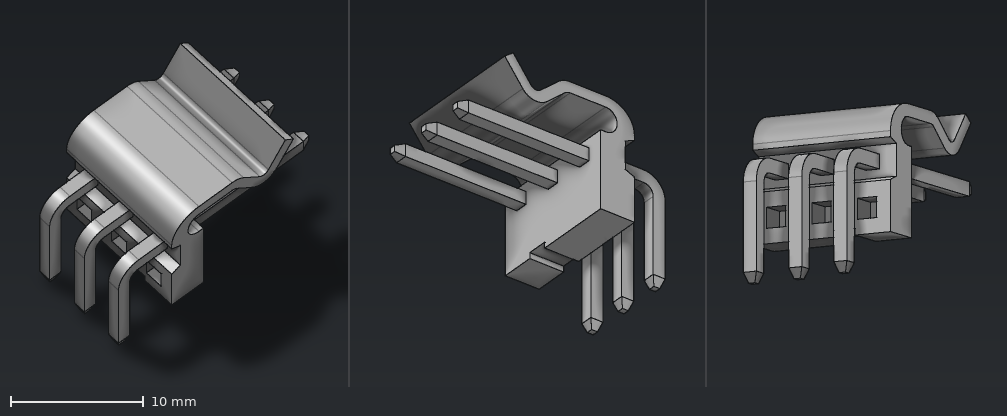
import cadquery as cq
import math


WIDTH = 11.98
HOUSING_DEPTH = 3.2
HOUSING_TOP = 7.02

GROOVE_DEPTH = 0.88
GROOVE_BOTTOM = 4.0
GROOVE_TOP = 7.27
GROOVE_SIDE_RISE = 0.37

STRIP_THICKNESS = 1.01
STRIP_TOP = 10.23
HOOK_CENTER_Y = 2.75
HOOK_FRONT_END = 7.75
CREST_Y = 6.09
CREST_INNER_RADIUS = 0.78
FALL_ANGLE = 40
FALL_LENGTH = 2.14
VALLEY_INNER_RADIUS = 0.6
LIP_ANGLE = 53
LIP_LENGTH = 2.84

POCKET_WIDTH = 1.67
POCKET_HEIGHT = 1.61
POCKET_DEPTH = 2.0
POCKET_BOTTOM = 1.19

NOTCH_LEFT = 1.03
NOTCH_WIDTH = 1.87
NOTCH_HEIGHT = 0.53

PIN_PITCH = 3.95
PIN_SIZE = 1.15
PIN_BEND_RADIUS = 2.05
PIN_TIP_LENGTH = 0.82
PIN_TIP_SIZE = 0.56
PIN_BACK_END = 15.38
PIN_FRONT = -4.0
PIN_TOP = 6.15
PIN_BOTTOM_END = -3.64
LAST_PIN_OFFSET = 0.05
LAST_PIN_END_RISE = 0.12


def polar(center, radius, angle):
    """Point at a radius from a center, the angle measured in degrees from +Y towards +Z."""
    turn = math.radians(angle)
    return (center[0] + radius * math.cos(turn), center[1] + radius * math.sin(turn))


def make_body():
    """Housing and latch strip: one profile in the YZ plane, extruded along X."""
    crest_outer = CREST_INNER_RADIUS + STRIP_THICKNESS
    valley_outer = VALLEY_INNER_RADIUS + STRIP_THICKNESS
    strip_bottom = STRIP_TOP - STRIP_THICKNESS
    hook_inner_radius = (strip_bottom - HOUSING_TOP) / 2
    hook_inner_z = HOUSING_TOP + hook_inner_radius

    fall_normal = 90 - FALL_ANGLE
    fall_mid = 90 - FALL_ANGLE / 2
    lip_normal = LIP_ANGLE - 90
    valley_mid = (fall_normal - 180 + lip_normal) / 2
    crest = (CREST_Y, STRIP_TOP - crest_outer)
    fall_end = polar(polar(crest, crest_outer, fall_normal), FALL_LENGTH, -FALL_ANGLE)
    valley = polar(fall_end, VALLEY_INNER_RADIUS, fall_normal)
    lip_inner_end = polar(polar(valley, VALLEY_INNER_RADIUS, lip_normal), LIP_LENGTH, LIP_ANGLE)
    lip_outer_end = polar(polar(valley, valley_outer, lip_normal), LIP_LENGTH, LIP_ANGLE)

    profile = (
        cq.Workplane("YZ", origin=(-WIDTH / 2, 0, 0))
        .moveTo(0, 0)
        .lineTo(0, GROOVE_BOTTOM)
        .lineTo(GROOVE_DEPTH, GROOVE_BOTTOM + GROOVE_SIDE_RISE)
        .lineTo(GROOVE_DEPTH, GROOVE_TOP - GROOVE_SIDE_RISE)
        .lineTo(0, GROOVE_TOP)
        .lineTo(0, HOOK_FRONT_END)
        .ellipseArc(HOOK_CENTER_Y, STRIP_TOP - HOOK_FRONT_END, 90, 180, sense=-1)
        .lineTo(CREST_Y, STRIP_TOP)
        .threePointArc(polar(crest, crest_outer, fall_mid), polar(crest, crest_outer, fall_normal))
        .lineTo(*fall_end)
        .threePointArc(
            polar(valley, VALLEY_INNER_RADIUS, valley_mid),
            polar(valley, VALLEY_INNER_RADIUS, lip_normal),
        )
        .lineTo(*lip_inner_end)
        .lineTo(*lip_outer_end)
        .lineTo(*polar(valley, valley_outer, lip_normal))
        .threePointArc(
            polar(valley, valley_outer, valley_mid),
            polar(valley, valley_outer, fall_normal - 180),
        )
        .lineTo(*polar(crest, CREST_INNER_RADIUS, fall_normal))
        .threePointArc(polar(crest, CREST_INNER_RADIUS, fall_mid), (CREST_Y, strip_bottom))
        .lineTo(HOOK_CENTER_Y, strip_bottom)
        .threePointArc(
            (HOOK_CENTER_Y - hook_inner_radius, hook_inner_z),
            (HOOK_CENTER_Y, HOUSING_TOP),
        )
        .lineTo(HOUSING_DEPTH, HOUSING_TOP)
        .lineTo(HOUSING_DEPTH, 0)
        .close()
    )
    return profile.extrude(WIDTH)


def make_pocket(x):
    """Blind pocket cutter entering from the front face."""
    return cq.Workplane("XY").box(
        POCKET_WIDTH, POCKET_DEPTH, POCKET_HEIGHT, centered=(True, False, False)
    ).translate((x, 0, POCKET_BOTTOM))


def make_notch():
    """Notch cutter through the full depth of the housing."""
    return cq.Workplane("XY").box(
        NOTCH_WIDTH, HOUSING_DEPTH, NOTCH_HEIGHT, centered=False
    ).translate((NOTCH_LEFT, 0, 0))


def make_tip(face):
    """Tapered tip on a workplane whose normal points out of the pin end."""
    return (
        face.rect(PIN_SIZE, PIN_SIZE)
        .workplane(offset=PIN_TIP_LENGTH)
        .rect(PIN_TIP_SIZE, PIN_TIP_SIZE)
        .loft()
    )


def make_pin(x, front, top, bottom_end):
    """Right-angle pin with a level tail towards +Y, a leg pointing down and two tapered tips."""
    tail_end = PIN_BACK_END - PIN_TIP_LENGTH
    leg_end = bottom_end + PIN_TIP_LENGTH
    inner_radius = PIN_BEND_RADIUS - PIN_SIZE
    bend = (front + PIN_BEND_RADIUS, top - PIN_BEND_RADIUS)
    shank = (
        cq.Workplane("YZ", origin=(x - PIN_SIZE / 2, 0, 0))
        .moveTo(tail_end, top)
        .lineTo(bend[0], top)
        .threePointArc(polar(bend, PIN_BEND_RADIUS, 135), (front, bend[1]))
        .lineTo(front, leg_end)
        .lineTo(front + PIN_SIZE, leg_end)
        .lineTo(front + PIN_SIZE, bend[1])
        .threePointArc(polar(bend, inner_radius, 135), (bend[0], top - PIN_SIZE))
        .lineTo(tail_end, top - PIN_SIZE)
        .close()
        .extrude(PIN_SIZE)
    )
    tail_face = cq.Workplane(cq.Plane((x, tail_end, top - PIN_SIZE / 2), (1, 0, 0), (0, 1, 0)))
    leg_face = cq.Workplane(cq.Plane((x, front + PIN_SIZE / 2, leg_end), (1, 0, 0), (0, 0, -1)))
    return shank.union(make_tip(tail_face)).union(make_tip(leg_face))


result = make_body().cut(make_notch())
for pocket_x in (-PIN_PITCH, 0, PIN_PITCH):
    result = result.cut(make_pocket(pocket_x))

for pin_x in (-PIN_PITCH, 0):
    result = result.union(make_pin(pin_x, PIN_FRONT, PIN_TOP, PIN_BOTTOM_END))
last_pin = make_pin(
    PIN_PITCH,
    PIN_FRONT - LAST_PIN_OFFSET,
    PIN_TOP + LAST_PIN_OFFSET,
    PIN_BOTTOM_END + LAST_PIN_END_RISE,
)
result = result.union(last_pin)